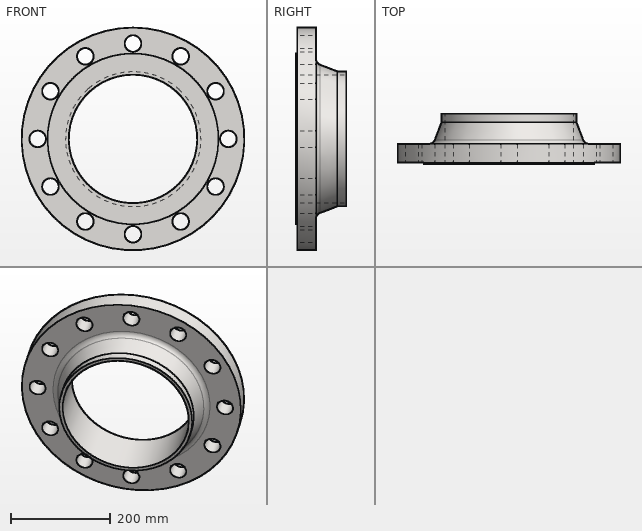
import cadquery as cq
import math

total_length = 102.0
raised_face_height = 3.0
flange_thickness = 38.0
pipe_end_length = 18.0
flange_back = raised_face_height + flange_thickness
taper_end = total_length - pipe_end_length

flange_radius = 450.0 / 2
raised_face_radius = 345.0 / 2
hub_base_radius = 306.0 / 2
pipe_radius = 273.0 / 2
wall_thickness = 7.1
bore_radius = pipe_radius - wall_thickness

hub_fillet_radius = 12.0

bolt_count = 12
bolt_circle_radius = 385.0 / 2
bolt_hole_radius = 33.0 / 2


def make_body():
    """Flange, raised face, tapered hub and pipe end with bore, revolved about Y."""
    taper_angle = math.atan2(hub_base_radius - pipe_radius, taper_end - flange_back)
    arc_angle = math.pi / 2 - taper_angle
    tangent_length = hub_fillet_radius * math.tan(arc_angle / 2)
    centre_radius = hub_base_radius + tangent_length
    centre_y = flange_back + hub_fillet_radius

    def fillet_point(angle):
        """Point (y, radius) on the fillet, turned by angle from the flange back."""
        return (
            centre_y - hub_fillet_radius * math.cos(angle),
            centre_radius - hub_fillet_radius * math.sin(angle),
        )

    return (
        cq.Workplane("YZ")
        .moveTo(0, bore_radius)
        .lineTo(0, raised_face_radius)
        .lineTo(raised_face_height, raised_face_radius)
        .lineTo(raised_face_height, flange_radius)
        .lineTo(flange_back, flange_radius)
        .lineTo(*fillet_point(0))
        .threePointArc(fillet_point(arc_angle / 2), fillet_point(arc_angle))
        .lineTo(taper_end, pipe_radius)
        .lineTo(total_length, pipe_radius)
        .lineTo(total_length, bore_radius)
        .close()
        .revolve(360, (0, 0, 0), (1, 0, 0))
    )


def make_bolt_holes():
    """Cylinders through the flange, evenly spaced on the bolt circle."""
    return (
        cq.Workplane("XZ")
        .polarArray(bolt_circle_radius, 0, 360, bolt_count)
        .circle(bolt_hole_radius)
        .extrude(-flange_back)
    )


result = make_body().cut(make_bolt_holes())